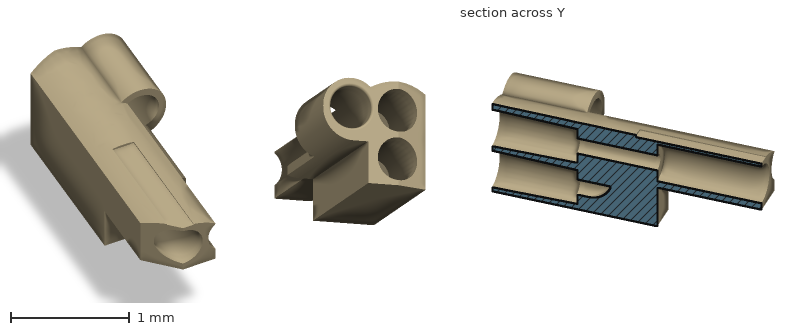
import math

import cadquery as cq


length = 2.43
half_width = 0.27
bar_back = 0.305
bar_floor = -0.255
side_top = 0.17
crown_peak_mouth = 0.248
crown_peak_far = 0.237
block_length = 1.49
block_floor = -0.65
mouth_bevel_length = 0.09
far_bevel_length = 0.265

tube_length = 0.765
tube_center = (0.42, 0.0)
tube_radius = 0.25
saddle_center = (0.4, -0.02)
saddle_radius = 0.27
saddle_floor = saddle_center[1] - saddle_radius
tube_bore_radius = 0.365 / 2
tube_mouth_round = 0.02

rail_back = 0.498
rail_lip_chamfer = 0.021

bore_pitch = 0.42
bore_mouth_radius = 0.37 / 2
bore_end_radius = 0.34 / 2
bore_depth = tube_length
far_bore_radius = 0.37 / 2
far_bore_depth = length - block_length
passage_radius = 0.15 / 2
passage_end_radius = 0.21
passage_straight = 0.1

pocket_start = 1.297
pocket_half_width = 0.1
pocket_floor = 0.22


def box(x_range, y_range, z_range):
    """Box between two limits on each axis."""
    sizes = [high - low for low, high in (x_range, y_range, z_range)]
    corner = (x_range[0], y_range[0], z_range[0])
    return cq.Workplane("XY").box(*sizes, centered=False).translate(corner)


def rod(center, radius, x_start, x_end):
    """Cylinder along X, centred at (y, z)."""
    return cq.Workplane("YZ", origin=(x_start, 0, 0)).center(*center).circle(radius).extrude(x_end - x_start)


def crown_height(y, peak):
    """Height of the circular crown that passes the -Y side at side_top."""
    rise = peak - side_top
    radius = (half_width**2 + rise**2) / (2 * rise)
    return peak - radius + math.sqrt(radius**2 - y**2)


def bar_section(x, peak):
    """Closed outline of the bar: flat floor and sides under a crown."""
    return (
        cq.Workplane("YZ", origin=(x, 0, 0))
        .moveTo(-half_width, bar_floor)
        .lineTo(-half_width, side_top)
        .threePointArc((0, peak), (bar_back, crown_height(bar_back, peak)))
        .lineTo(bar_back, bar_floor)
        .close()
        .wires()
        .val()
    )


def make_bar():
    sections = [bar_section(0, crown_peak_mouth), bar_section(length, crown_peak_far)]
    return cq.Workplane(cq.Solid.makeLoft(sections, True))


def make_block():
    return box((0, block_length), (-half_width, half_width), (block_floor, 0))


def saddle(x_end):
    """Lower half of the large round, running flat into the block."""
    lower_round = rod(saddle_center, saddle_radius, 0, x_end)
    web = box((0, x_end), (0, saddle_center[0]), (saddle_floor, 0))
    below_tube_axis = box((0, x_end), (0, saddle_center[0] + saddle_radius), (saddle_floor, tube_center[1]))
    return lower_round.union(web).intersect(below_tube_axis)


def make_tube():
    return rod(tube_center, tube_radius, 0, tube_length).union(saddle(tube_length))


def make_rail():
    """Saddle continued past the tube, cut back to a bevelled lip beside the groove."""
    lip_edge = rail_back - rail_lip_chamfer
    lip_top = tube_center[1] - math.sqrt(tube_bore_radius**2 - (lip_edge - tube_center[0]) ** 2)
    outline = [
        (0, saddle_floor),
        (rail_back, saddle_floor),
        (rail_back, lip_top - rail_lip_chamfer),
        (lip_edge, lip_top),
        (lip_edge, tube_center[1]),
        (0, tube_center[1]),
    ]
    envelope = cq.Workplane("YZ").polyline(outline).close().extrude(block_length)
    return saddle(block_length).intersect(envelope)


def end_bevel(x_end, x_side):
    """Wedge that bevels an end from its middle to the -Y side, full height."""
    corners = [(x_end, 0), (x_side, -half_width), (x_end, -half_width)]
    height = crown_peak_mouth - block_floor
    return cq.Workplane("XY", origin=(0, 0, block_floor)).polyline(corners).close().extrude(height)


def tapered_bore(z):
    """Bore from the mouth end, narrowing to a flat bottom."""
    bore = cq.Solid.makeCone(
        bore_mouth_radius, bore_end_radius, bore_depth, cq.Vector(0, 0, z), cq.Vector(1, 0, 0)
    )
    return cq.Workplane(bore)


def tube_bore():
    """Bore through the tube with a rounded mouth; it also cuts the groove beyond."""
    flare_radius = tube_bore_radius + tube_mouth_round
    sag = tube_mouth_round * (1 - math.sqrt(0.5))
    y, z = tube_center
    return (
        cq.Workplane("XY", origin=(0, y, z))
        .lineTo(0, flare_radius)
        .threePointArc((sag, tube_bore_radius + sag), (tube_mouth_round, tube_bore_radius))
        .lineTo(length, tube_bore_radius)
        .lineTo(length, 0)
        .close()
        .revolve(360, (0, 0), (1, 0))
    )


def lower_passage():
    """Blind passage whose end curves up from its floor about an axis along Y."""
    round_start = bore_depth + passage_straight
    round_end = round_start + passage_end_radius
    passage = rod((0, -bore_pitch), passage_radius, bore_depth, round_end)
    straight = rod((0, -bore_pitch), passage_radius, bore_depth, round_start)
    round_axis_z = -bore_pitch - passage_radius + passage_end_radius
    end_round = (
        cq.Workplane("XZ")
        .center(round_start, round_axis_z)
        .circle(passage_end_radius)
        .extrude(passage_radius, both=True)
    )
    return passage.intersect(end_round).union(straight)


def crown_pocket():
    return box(
        (pocket_start, length),
        (-pocket_half_width, pocket_half_width),
        (pocket_floor, crown_peak_mouth),
    )


body = make_bar().union(make_block()).union(make_tube()).union(make_rail())

cutters = [
    end_bevel(0, mouth_bevel_length),
    end_bevel(length, length - far_bevel_length),
    tapered_bore(0),
    tapered_bore(-bore_pitch),
    rod((0, 0), passage_radius, 0, length),
    rod((0, 0), far_bore_radius, length - far_bore_depth, length),
    lower_passage(),
    tube_bore(),
    crown_pocket(),
]
for cutter in cutters:
    body = body.cut(cutter)

result = body